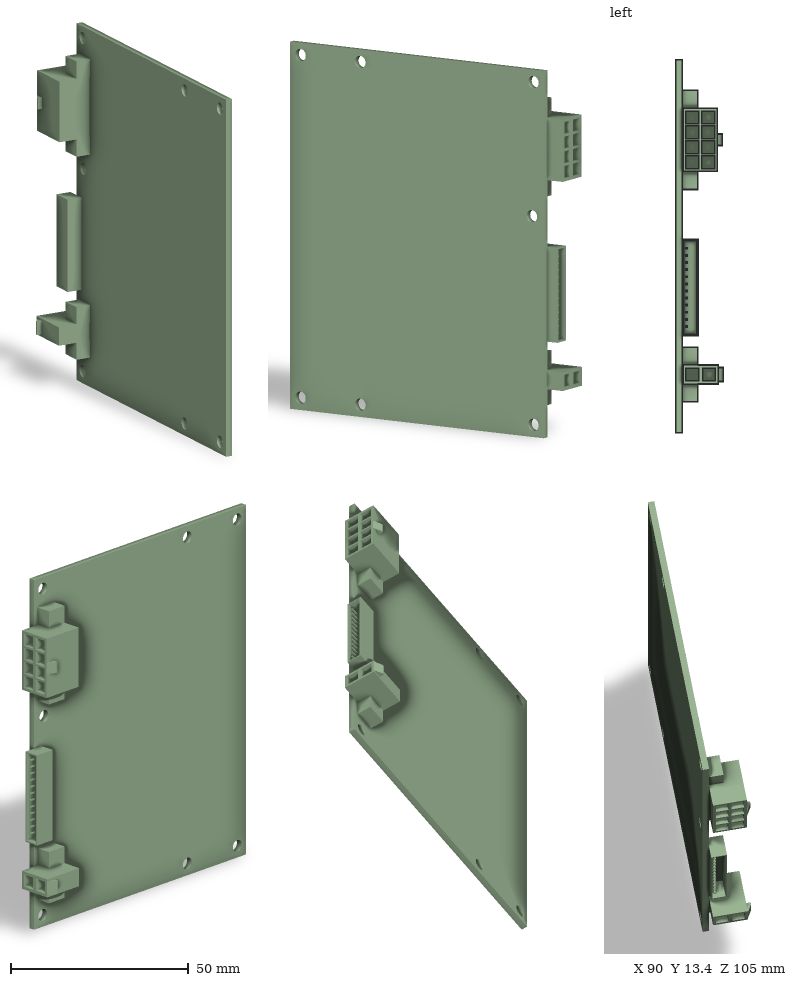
import cadquery as cq


OVERALL_WIDTH = 90.0
OVERALL_DEPTH = 13.4

BOARD_WIDTH = 85.0
BOARD_HEIGHT = 105.0
BOARD_THICKNESS = 1.85
HOLE_DIAMETER = 3.5
HOLE_INSET = 3.5
INNER_HOLE_X = 61.5
SIDE_HOLE_X = 4.0
SIDE_HOLE_Z = 63.1

HOUSING_GAP = 0.2
HOUSING_LEFT = BOARD_WIDTH - OVERALL_WIDTH
HOUSING_RIGHT = 7.8
CELL_SIZE = 3.6
CELL_DEPTH = 10.0
CELL_PITCH_Z = 4.2
FLANGE_LEFT = 1.5
FLANGE_STANDOFF = 4.4
LATCH_LENGTH = 2.9
LATCH_TIP_FLAT = 0.5
LATCH_RISE = 1.4

EIGHT_WAY_Z = 82.4
EIGHT_WAY_HEIGHT = 17.8
EIGHT_WAY_STANDOFF = 9.9
EIGHT_WAY_FLANGE_SPAN = 28.0
EIGHT_WAY_ROWS = 4
EIGHT_WAY_CELL_PITCH_Y = 4.5
EIGHT_WAY_LATCH_WIDTH = 3.3

TWO_WAY_Z = 16.4
TWO_WAY_HEIGHT = 5.4
TWO_WAY_STANDOFF = OVERALL_DEPTH - BOARD_THICKNESS - LATCH_RISE
TWO_WAY_FLANGE_SPAN = 15.4
TWO_WAY_ROWS = 1
TWO_WAY_CELL_PITCH_Y = 4.75
TWO_WAY_LATCH_WIDTH = 4.0

HEADER_LEFT = -3.4
HEADER_RIGHT = 2.9
HEADER_Z = 40.9
HEADER_HEIGHT = 27.1
HEADER_STANDOFF = 4.5
HEADER_WALL = 0.4
HEADER_CAVITY_DEPTH = 5.0
PIN_COUNT = 12
PIN_PITCH = 2.0
PIN_SIZE = 0.4
PIN_STANDOFF = 1.2
PIN_LENGTH = 4.5


def block(x_min, x_max, near, far, z_centre, height):
    """Box from x_min to x_max that lies between two distances in front of the board face."""
    corner = (x_min, -far, z_centre - height / 2)
    return cq.Workplane("XY").box(x_max - x_min, far - near, height, centered=False).translate(corner)


def make_board():
    """Flat board with its mounting holes."""
    board = block(0, BOARD_WIDTH, -BOARD_THICKNESS, 0, BOARD_HEIGHT / 2, BOARD_HEIGHT)
    column_positions = (HOLE_INSET, INNER_HOLE_X, BOARD_WIDTH - HOLE_INSET)
    row_positions = (HOLE_INSET, BOARD_HEIGHT - HOLE_INSET)
    centres = [(x, z) for x in column_positions for z in row_positions]
    centres.append((SIDE_HOLE_X, SIDE_HOLE_Z))
    holes = cq.Workplane("XZ").pushPoints(centres).circle(HOLE_DIAMETER / 2).extrude(-BOARD_THICKNESS)
    return board.cut(holes)


def make_latch(standoff, z_centre, width):
    """Ramp on the housing face that rises away from the open end to a narrow flat tip."""
    right = HOUSING_LEFT + LATCH_LENGTH
    tip = -(standoff + LATCH_RISE)
    profile = [
        (HOUSING_LEFT, -standoff),
        (right - LATCH_TIP_FLAT, tip),
        (right, tip),
        (right, -standoff),
    ]
    latch = cq.Workplane("XY").polyline(profile).close().extrude(width)
    return latch.translate((0, 0, z_centre - width / 2))


def make_power_connector(z_centre, height, standoff, flange_span, rows, cell_pitch_y, latch_width):
    """Housing with two columns of square cells, side flanges and a latch ramp."""
    housing = block(HOUSING_LEFT, HOUSING_RIGHT, HOUSING_GAP, standoff, z_centre, height)
    cell_end = HOUSING_LEFT + CELL_DEPTH
    for row in range(rows):
        cell_z = z_centre + (row - (rows - 1) / 2) * CELL_PITCH_Z
        for side in (-1, 1):
            cell_centre = (HOUSING_GAP + standoff) / 2 + side * cell_pitch_y / 2
            near = cell_centre - CELL_SIZE / 2
            cell = block(HOUSING_LEFT, cell_end, near, near + CELL_SIZE, cell_z, CELL_SIZE)
            housing = housing.cut(cell)
    flange_height = (flange_span - height) / 2
    for side in (-1, 1):
        flange_z = z_centre + side * (height + flange_height) / 2
        flange = block(FLANGE_LEFT, HOUSING_RIGHT, 0, FLANGE_STANDOFF, flange_z, flange_height)
        housing = housing.union(flange)
    return housing.union(make_latch(standoff, z_centre, latch_width))


def make_header():
    """Thin-walled open shroud with one row of square pins."""
    shroud = block(HEADER_LEFT, HEADER_RIGHT, 0, HEADER_STANDOFF, HEADER_Z, HEADER_HEIGHT)
    cavity_end = HEADER_LEFT + HEADER_CAVITY_DEPTH
    cavity = block(
        HEADER_LEFT,
        cavity_end,
        HEADER_WALL,
        HEADER_STANDOFF - HEADER_WALL,
        HEADER_Z,
        HEADER_HEIGHT - 2 * HEADER_WALL,
    )
    header = shroud.cut(cavity)
    pin_near = PIN_STANDOFF - PIN_SIZE / 2
    for index in range(PIN_COUNT):
        pin_z = HEADER_Z + (index - (PIN_COUNT - 1) / 2) * PIN_PITCH
        pin = block(cavity_end - PIN_LENGTH, cavity_end, pin_near, pin_near + PIN_SIZE, pin_z, PIN_SIZE)
        header = header.union(pin)
    return header


eight_way = make_power_connector(
    EIGHT_WAY_Z,
    EIGHT_WAY_HEIGHT,
    EIGHT_WAY_STANDOFF,
    EIGHT_WAY_FLANGE_SPAN,
    EIGHT_WAY_ROWS,
    EIGHT_WAY_CELL_PITCH_Y,
    EIGHT_WAY_LATCH_WIDTH,
)
two_way = make_power_connector(
    TWO_WAY_Z,
    TWO_WAY_HEIGHT,
    TWO_WAY_STANDOFF,
    TWO_WAY_FLANGE_SPAN,
    TWO_WAY_ROWS,
    TWO_WAY_CELL_PITCH_Y,
    TWO_WAY_LATCH_WIDTH,
)

result = make_board().union(eight_way).union(two_way).union(make_header())